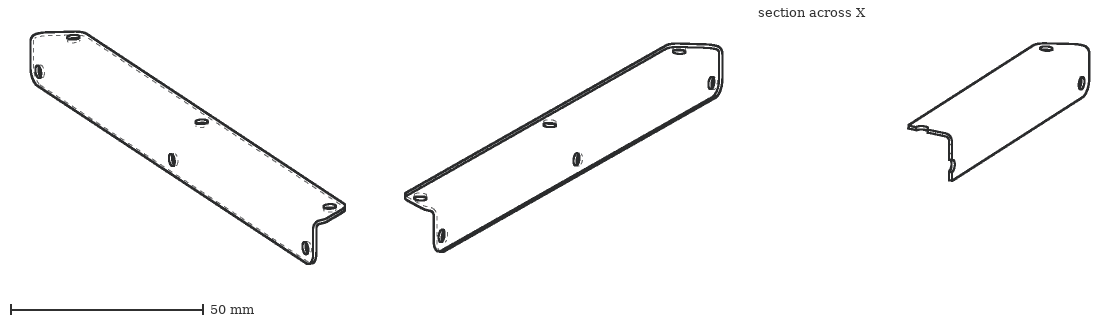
import cadquery as cq
import math

length = 161.3
depth = 12.7
height = 13.4
thickness = 1.0
bend_radius = 2.0
flange_tilt = 3.0
corner_radius = 4.0
hole_diameter = 3.2
wall_hole_spacing = 76.1
flange_hole_spacing = 73.0
end_angle = 60.0
cut_reach = 2.0 * height

tilt = math.radians(flange_tilt)
slant = math.radians(end_angle)
flange_normal = (-math.sin(tilt), math.cos(tilt))
inner_radius = bend_radius - thickness

top_edge_y = depth - thickness * math.sin(tilt)
bend_y = bend_radius
bend_top_y = bend_y + bend_radius * flange_normal[0]
bend_top_z = height - (top_edge_y - bend_top_y) * math.tan(tilt)
bend_z = bend_top_z - bend_radius * flange_normal[1]


def bend_point(radius, angle):
    """Point on the bend; angle in radians, counterclockwise from +Y."""
    return (bend_y + radius * math.cos(angle), bend_z + radius * math.sin(angle))


def folded_sheet():
    """Constant-thickness angle section extruded along X."""
    end_of_bend = math.pi / 2 + tilt
    middle_of_bend = (end_of_bend + math.pi) / 2
    bottom_edge_z = height - thickness * math.cos(tilt)
    return (
        cq.Workplane("YZ")
        .moveTo(0, 0)
        .lineTo(0, bend_z)
        .threePointArc(bend_point(bend_radius, middle_of_bend), bend_point(bend_radius, end_of_bend))
        .lineTo(top_edge_y, height)
        .lineTo(depth, bottom_edge_z)
        .lineTo(*bend_point(inner_radius, end_of_bend))
        .threePointArc(bend_point(inner_radius, middle_of_bend), (thickness, bend_z))
        .lineTo(thickness, 0)
        .close()
        .extrude(length / 2, both=True)
    )


def wall_outline():
    """Front wall envelope with rounded lower corners, running through Y."""
    return (
        cq.Workplane("XZ")
        .rect(length, 2 * height)
        .extrude(cut_reach, both=True)
        .translate((0, 0, height))
        .edges("|Y and <Z")
        .fillet(corner_radius)
    )


def flange_outline():
    """Flange envelope with slanted, rounded ends, running through Z."""
    back_x = flange_hole_spacing + corner_radius * math.tan(slant / 2)
    slant_start_y = depth - (length / 2 - back_x) * math.tan(slant)
    half = length / 2
    return (
        cq.Workplane("XY")
        .polyline([
            (-half, 0), (half, 0), (half, slant_start_y),
            (back_x, depth), (-back_x, depth), (-half, slant_start_y),
        ])
        .close()
        .extrude(cut_reach, both=True)
        .edges("|Z").edges("not <Y")
        .fillet(corner_radius)
    )


def hole_row(center, direction, spacing):
    """Three through-hole cutters spaced along X."""
    plane = cq.Plane(origin=center, xDir=(1, 0, 0), normal=direction)
    return (
        cq.Workplane(plane)
        .pushPoints([(i * spacing, 0) for i in (-1, 0, 1)])
        .circle(hole_diameter / 2)
        .extrude(thickness * 2, both=True)
    )


wall_holes = hole_row((0, thickness / 2, corner_radius), (0, 1, 0), wall_hole_spacing)
flange_hole_y = depth - corner_radius
flange_hole_z = height - corner_radius * math.tan(tilt)
flange_holes = hole_row((0, flange_hole_y, flange_hole_z), (0, *flange_normal), flange_hole_spacing)

result = (
    folded_sheet()
    .intersect(wall_outline())
    .intersect(flange_outline())
    .cut(wall_holes)
    .cut(flange_holes)
)